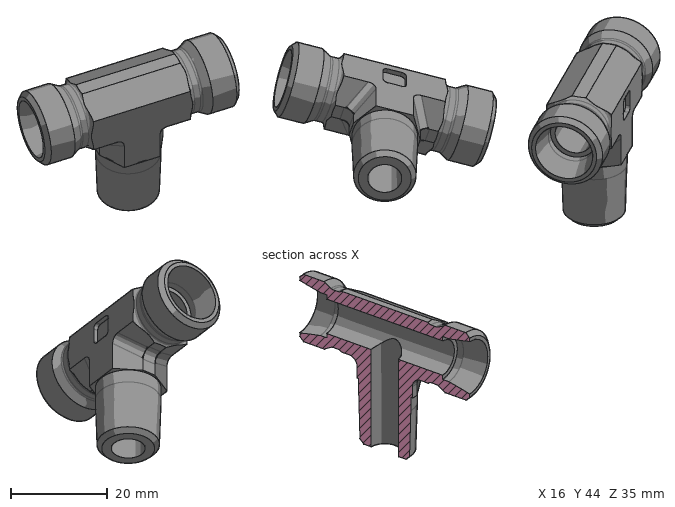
import cadquery as cq
import math


ACROSS_FLATS = 14.0
TIP_FLAT_WIDTH = 3.0
BODY_HALF_LENGTH = 11.0
BRANCH_BODY_END = 12.0
CROTCH_RADIUS = 2.0

RUN_HALF_LENGTH = 22.0
COLLAR_RADIUS = 8.0
COLLAR_CHAMFER = 1.0
COLLAR_LENGTH = 6.4
COLLAR_BACK_ANGLE = 30.0
GROOVE_RADIUS = 13.7 / 2
GROOVE_FILLET = 1.0
GROOVE_START = BODY_HALF_LENGTH + GROOVE_FILLET

RUN_BORE_RADIUS = 4.0
TUBE_RADIUS = 5.0
TUBE_SOCKET_DEPTH = 7.0
CONE_MOUTH_RADIUS = 12.3 / 2
CONE_HALF_ANGLE = 12.0

BRANCH_END = 27.0
BRANCH_RADIUS = 13.63 / 2
BRANCH_COLLAR_LENGTH = 3.0
BRANCH_TAPER = 1.0 / 16
BRANCH_CHAMFER = 1.0
BRANCH_BORE_RADIUS = 3.5

POCKET_SIZE = 5.0
POCKET_CORNER_RADIUS = 1.0
POCKET_DEPTH = 1.0


def tan_deg(angle):
    return math.tan(math.radians(angle))


def body_prism(plane, start, end):
    """Hexagonal prism with cut tips; the flats face +X and -X in the given plane."""
    half_flat = ACROSS_FLATS / 2
    half_tip = TIP_FLAT_WIDTH / 2
    side_corner = half_flat * tan_deg(30)
    tip_height = 2 * side_corner - half_tip * tan_deg(30)
    upper = [(half_flat, side_corner), (half_tip, tip_height)]
    upper += [(-x, y) for x, y in reversed(upper)]
    lower = [(-x, -y) for x, y in upper]
    sketch = cq.Workplane(plane).workplane(offset=start).polyline(upper + lower).close()
    return sketch.extrude(end - start)


def on_both_ends(shape):
    return shape.union(shape.mirror("XZ"))


def make_body():
    """Run and branch hexagons joined, with filleted crotches."""
    run = body_prism("XZ", -GROOVE_START, GROOVE_START)
    branch = body_prism("XY", -BRANCH_BODY_END, 0)
    body = run.union(branch)
    slack = 0.1
    reach = ACROSS_FLATS / math.sqrt(3) + slack
    crotch_zone = cq.selectors.BoxSelector(
        (-ACROSS_FLATS, -reach, -reach), (ACROSS_FLATS, reach, -slack))
    crotch = [
        edge for edge in body.edges(crotch_zone).vals()
        if abs(abs(edge.Center().y) - abs(edge.Center().z)) < slack
    ]
    return body.newObject(crotch).fillet(CROTCH_RADIUS)


def groove_cutter():
    """Ring that shapes the end of the run hexagon with a concave quarter round."""
    outer = ACROSS_FLATS
    center_radius = GROOVE_RADIUS + GROOVE_FILLET
    diagonal = GROOVE_FILLET * math.sqrt(0.5)
    return (
        cq.Workplane("XY")
        .moveTo(GROOVE_RADIUS, GROOVE_START)
        .threePointArc(
            (center_radius - diagonal, GROOVE_START - diagonal),
            (center_radius, BODY_HALF_LENGTH))
        .lineTo(outer, BODY_HALF_LENGTH)
        .lineTo(outer, GROOVE_START)
        .close()
        .revolve(360, (0, 0, 0), (0, 1, 0))
    )


def tube_end():
    """Groove neck and collar at the +Y end of the run, still solid."""
    collar_start = RUN_HALF_LENGTH - COLLAR_LENGTH
    cone_foot = collar_start - (COLLAR_RADIUS - GROOVE_RADIUS) / tan_deg(COLLAR_BACK_ANGLE)
    arc_start = cone_foot - GROOVE_FILLET * tan_deg(COLLAR_BACK_ANGLE / 2)

    def arc_point(angle):
        """Point on the fillet between groove and back cone where its slope has the given angle."""
        turn = math.radians(angle)
        radius = GROOVE_RADIUS + GROOVE_FILLET * (1 - math.cos(turn))
        return (radius, arc_start + GROOVE_FILLET * math.sin(turn))

    return (
        cq.Workplane("XY")
        .moveTo(0, 0)
        .lineTo(GROOVE_RADIUS, 0)
        .lineTo(GROOVE_RADIUS, arc_start)
        .threePointArc(arc_point(COLLAR_BACK_ANGLE / 2), arc_point(COLLAR_BACK_ANGLE))
        .lineTo(COLLAR_RADIUS, collar_start)
        .lineTo(COLLAR_RADIUS, RUN_HALF_LENGTH - COLLAR_CHAMFER)
        .lineTo(COLLAR_RADIUS - COLLAR_CHAMFER, RUN_HALF_LENGTH)
        .lineTo(0, RUN_HALF_LENGTH)
        .close()
        .revolve(360, (0, 0, 0), (0, 1, 0))
    )


def tube_bore():
    """Through bore, tube socket and sealing cone of the +Y end."""
    socket_bottom = RUN_HALF_LENGTH - TUBE_SOCKET_DEPTH
    cone_bottom = RUN_HALF_LENGTH - (CONE_MOUTH_RADIUS - TUBE_RADIUS) / tan_deg(CONE_HALF_ANGLE)
    profile = [
        (0, 0),
        (RUN_BORE_RADIUS, 0),
        (RUN_BORE_RADIUS, socket_bottom),
        (TUBE_RADIUS, socket_bottom),
        (TUBE_RADIUS, cone_bottom),
        (CONE_MOUTH_RADIUS, RUN_HALF_LENGTH),
        (0, RUN_HALF_LENGTH),
    ]
    return cq.Workplane("XY").polyline(profile).close().revolve(360, (0, 0, 0), (0, 1, 0))


def branch_stub():
    """Short cylinder followed by the tapered thread blank with a chamfered end."""
    taper_start = BRANCH_BODY_END + BRANCH_COLLAR_LENGTH
    taper_end = BRANCH_END - BRANCH_CHAMFER
    tip_radius = BRANCH_RADIUS - (taper_end - taper_start) * BRANCH_TAPER / 2
    profile = [
        (0, 0),
        (BRANCH_RADIUS, 0),
        (BRANCH_RADIUS, -taper_start),
        (tip_radius, -taper_end),
        (tip_radius - BRANCH_CHAMFER, -BRANCH_END),
        (0, -BRANCH_END),
    ]
    return cq.Workplane("YZ").polyline(profile).close().revolve(360, (0, 0, 0), (0, 1, 0))


def branch_bore():
    return cq.Workplane("XY").circle(BRANCH_BORE_RADIUS).extrude(-BRANCH_END)


def pocket():
    return (
        cq.Workplane("XY")
        .box(POCKET_DEPTH, POCKET_SIZE, POCKET_SIZE)
        .edges("|X")
        .fillet(POCKET_CORNER_RADIUS)
        .translate(((POCKET_DEPTH - ACROSS_FLATS) / 2, 0, 0))
    )


body = make_body().cut(on_both_ends(groove_cutter()))
solid = body.union(on_both_ends(tube_end())).union(branch_stub())
result = solid.cut(on_both_ends(tube_bore())).cut(branch_bore()).cut(pocket())